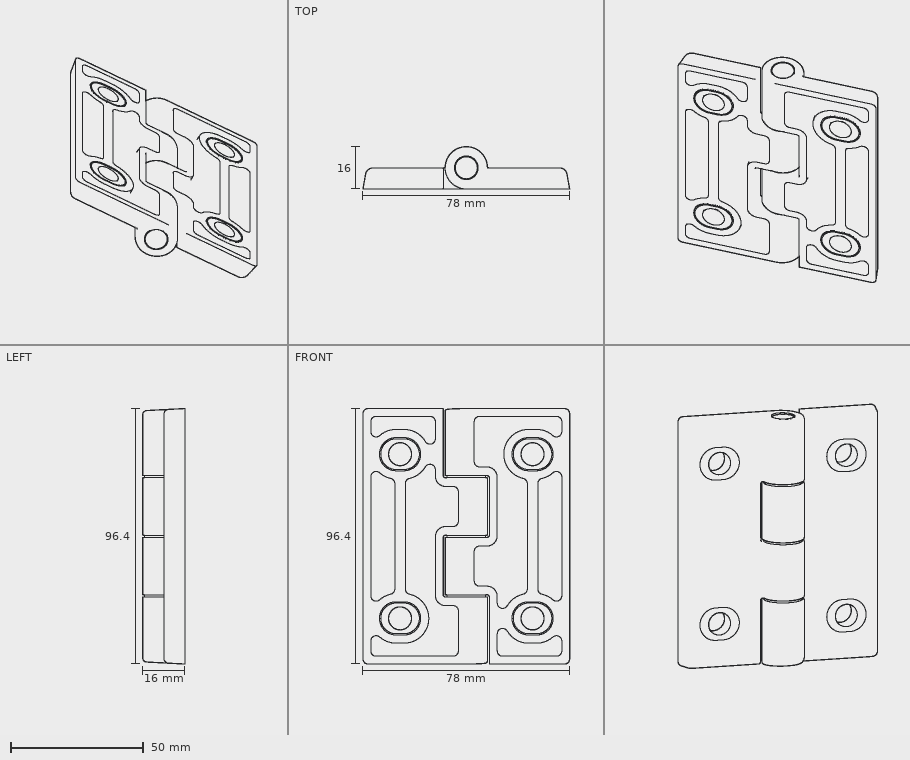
import cadquery as cq
import math


length = 96.4
width = 78.0
leaf_thickness = 8.0
side_draft = 10.0
end_draft = 3.0
side_rounding = 3.0
rim_rounding = 2.1
knuckle_radius = 8.0
neck_radius = 0.5
foot_depth = 1.0

outer_gap_z = 22.5
washer_thickness = 0.8
washer_radius = 7.3
notch_depth = 8.7
notch_corner = 0.9
arm_edge_rounding = 0.3
pin_radius = 4.4
pin_length = 95.1
pin_chamfer = 0.3

hole_x = 25.0
hole_z = 31.0
screw_diameter = 8.6
insert_width = 15.5
insert_height = 12.5
insert_chamfer = 0.5

rim_width = 3.0
arm_rim_width = 3.3
rib_width = 4.0
boss_radius = 9.4
pocket_depth = 2.9
pocket_draft = 3.0
pocket_corner = 2.0
pocket_inner_corner = 3.9
pocket_floor_fillet = 1.0

half_length = length / 2
half_width = width / 2
half_gap = washer_thickness / 2
upper_arm = (half_gap, outer_gap_z - half_gap)
lower_arm = (-half_length, -outer_gap_z - half_gap)
upper_notch = (upper_arm[1], length)
lower_notch = (lower_arm[1], upper_arm[0])
hole_heights = (hole_z, -hole_z)
washer_heights = (outer_gap_z, 0, -outer_gap_z)


def box_between(x_range, y_range, z_range):
    """Box given by its lower and upper limits along each axis."""
    x, y, z = x_range, y_range, z_range
    return (
        cq.Workplane("XY", origin=(x[0], y[0], z[0]))
        .box(x[1] - x[0], y[1] - y[0], z[1] - z[0], centered=False)
    )


def oval(width, height, depth, z):
    """Slot-shaped plug round a screw axis, from the mounting face inward."""
    return cq.Workplane("XZ", origin=(-hole_x, 0, z)).slot2D(width, height).extrude(-depth)


def leaf_section():
    """Cross-section of a leaf with its knuckle, standing on a foot below Y = 0."""
    slope = math.tan(math.radians(side_draft))
    foot_x = -half_width - foot_depth * slope
    back_x = -half_width + leaf_thickness * slope
    reach = knuckle_radius + neck_radius
    neck_y = leaf_thickness + neck_radius
    neck_x = -math.sqrt(reach**2 - (neck_y - knuckle_radius) ** 2)
    touch_x = neck_x * knuckle_radius / reach
    touch_y = knuckle_radius + (neck_y - knuckle_radius) * knuckle_radius / reach
    neck_diagonal = neck_radius * math.sqrt(0.5)
    return (
        cq.Workplane("XY")
        .moveTo(foot_x, -foot_depth)
        .lineTo(0, -foot_depth)
        .lineTo(0, 0)
        .threePointArc((0, 2 * knuckle_radius), (touch_x, touch_y))
        .threePointArc((neck_x + neck_diagonal, neck_y - neck_diagonal), (neck_x, leaf_thickness))
        .lineTo(back_x, leaf_thickness)
        .close()
    )


def drafted_ends():
    """Envelope whose two ends lean inward away from the mounting face."""
    depth = 3 * knuckle_radius
    lean = depth * math.tan(math.radians(end_draft))
    return (
        cq.Workplane("YZ")
        .polyline([
            (-depth, -half_length - lean),
            (depth, -half_length + lean),
            (depth, half_length - lean),
            (-depth, half_length + lean),
        ])
        .close()
        .extrude(length, both=True)
    )


def round_end_rims(blank):
    """Round the edges of both ends, fading to nothing where the knuckle meets the mounting face."""
    rounding = cq.occ_impl.shapes.BRepFilletAPI_MakeFillet(blank.val().wrapped)
    for edge in blank.faces("<Z or >Z").edges().vals():
        if edge.Center().y > 0:
            rounding.Add(rim_rounding, edge.wrapped)
    for rim in (1, 2):
        last = rounding.NbEdges(rim)
        if cq.Shape.cast(rounding.Edge(rim, last)).Center().x > 0:
            rounding.SetRadius(rim_rounding, 0, rim, last)
        else:
            rounding.SetRadius(0, rim_rounding, rim, 1)
    rounding.Build()
    return cq.Workplane(cq.Shape.cast(rounding.Shape()))


def leaf_blank():
    """Leaf with a knuckle along its full length."""
    blank = leaf_section().extrude(length, both=True).intersect(drafted_ends())
    back_edge = cq.selectors.NearestToPointSelector((-half_width, leaf_thickness, 0))
    blank = blank.edges(back_edge).fillet(side_rounding)
    blank = round_end_rims(blank.solids())
    foot = box_between((-length, length), (-length, 0), (-length, length))
    return blank.cut(foot)


def notch(z_range):
    """Room for a knuckle of the other leaf."""
    across = (-notch_depth, notch_depth)
    return (
        box_between(across, (-length, length), z_range)
        .edges("<X and |Y")
        .fillet(notch_corner)
    )


def pocket_core():
    """Pocket region shrunk by the corner radius; it falls apart into the separate pockets."""
    def slab(x_range, z_range):
        return box_between(x_range, (0, pocket_depth), z_range)

    inset = rim_width + pocket_corner
    arm_inset = arm_rim_width + pocket_corner
    left = -half_width + inset
    right = -notch_depth - inset
    end_z = half_length - inset
    half_rib = rib_width / 2 + pocket_corner
    core_radius = boss_radius + pocket_corner

    core = slab((left, right), (-end_z, end_z))
    core = core.union(slab((left, -inset), (upper_arm[0] + arm_inset, upper_arm[1] - arm_inset)))
    core = core.union(slab((left, -inset), (-end_z, lower_arm[1] - arm_inset)))
    margin = pocket_corner / 2
    inner_corners = cq.selectors.BoxSelector(
        (right - margin, 0, -end_z + margin),
        (right + margin, pocket_depth, end_z - margin),
    )
    core = core.edges("|Y").edges(inner_corners).fillet(pocket_inner_corner + pocket_corner)
    core = core.cut(slab((-hole_x - half_rib, -hole_x + half_rib), (-hole_z, hole_z)))
    straight = insert_width - insert_height
    for z in hole_heights:
        core = core.cut(oval(2 * core_radius + straight, 2 * core_radius, pocket_depth, z))
    return core


def pockets():
    """Pockets with rounded corners, drafted walls and filleted floors."""
    cutters = []
    for wire in pocket_core().faces("<Y").wires().vals():
        cutter = (
            cq.Workplane("XZ")
            .add(wire)
            .toPending()
            .offset2D(pocket_corner)
            .extrude(-pocket_depth, taper=pocket_draft)
            .faces(">Y")
            .edges()
            .fillet(pocket_floor_fillet)
        )
        cutters.append(cutter)
    return cutters


def make_leaf():
    """Left leaf, with its knuckles in the second and fourth places."""
    leaf = leaf_blank()
    for z_range in (upper_notch, lower_notch):
        leaf = leaf.cut(notch(z_range))
    leaf = leaf.faces("|Z").edges().fillet(arm_edge_rounding)
    for pocket in pockets():
        leaf = leaf.cut(pocket)
    for z in hole_heights:
        leaf = leaf.cut(insert_plug(z))
    return leaf.cut(pin_bore())


def insert_plug(z):
    """Oval plug that fills the seat of an insert."""
    return oval(insert_width, insert_height, leaf_thickness, z)


def make_insert(z):
    """Oval bush with a through hole for a screw."""
    return (
        insert_plug(z)
        .faces("<Y")
        .edges()
        .chamfer(insert_chamfer)
        .faces("<Y")
        .workplane(centerOption="CenterOfBoundBox")
        .hole(screw_diameter)
    )


def pin_bore():
    """Cylinder along the hinge axis that clears the knuckles for the pin."""
    return cq.Workplane("XY", origin=(0, knuckle_radius, 0)).circle(pin_radius).extrude(length, both=True)


def make_pin():
    """Pin with chamfered ends, set slightly below the ends of the knuckles."""
    return (
        cq.Workplane("XY", origin=(0, knuckle_radius, 0))
        .circle(pin_radius)
        .extrude(pin_length / 2, both=True)
        .faces("|Z")
        .edges()
        .chamfer(pin_chamfer)
    )


def make_washer(z):
    """Thin ring filling a gap between two knuckles."""
    return (
        cq.Workplane("XY", origin=(0, knuckle_radius, z - half_gap))
        .circle(washer_radius)
        .circle(pin_radius)
        .extrude(washer_thickness)
    )


def half_turn(body):
    """Turn a body of the left leaf into its partner on the right leaf."""
    return body.rotate((0, 0, 0), (0, 1, 0), 180)


left_leaf = make_leaf()
right_leaf = half_turn(left_leaf)
left_inserts = [make_insert(z) for z in hole_heights]
right_inserts = [half_turn(insert) for insert in left_inserts]
pin = make_pin()
washers = [make_washer(z) for z in washer_heights]

result = cq.Compound.makeCompound([
    left_leaf.val(),
    right_leaf.val(),
    *[insert.val() for insert in left_inserts + right_inserts],
    pin.val(),
    *[washer.val() for washer in washers],
])